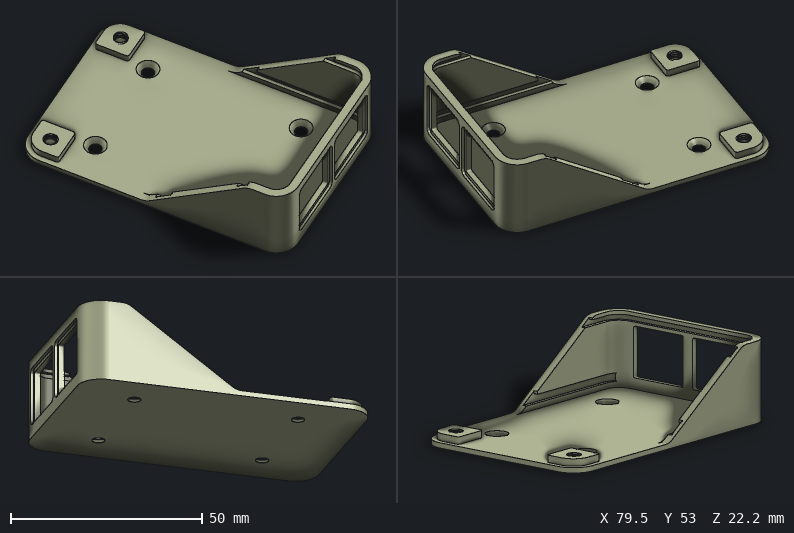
import cadquery as cq
import math

LENGTH = 79.5
WIDTH = 53.0
HEIGHT = 22.23
CORNER_RADIUS = 6.5
PLATE_THICKNESS = 1.5

WALL = 2.4
SLOPE_ANGLE = 34.6
SLOPE_BEND_RADIUS = 5.0
SLOPE_FOOT_X = -1.9

GROOVE_DEPTH = 1.1
LID_GROOVE_BOTTOM = 19.6
LID_GROOVE_TOP = 21.2
LID_GROOVE_MOUTH_X = 27.4
SIDE_GROOVE_BOTTOM = 3.1
SIDE_GROOVE_TOP = 5.4
SIDE_GROOVE_MOUTH_X = 4.9
SIDE_GROOVE_HALF_SPAN = 23.25

WINDOW_WIDTH = 16.8
WINDOW_HEIGHT = 13.9
WINDOW_BOTTOM = 4.6
WINDOW_SPACING = 20.1
WINDOW_CORNER_RADIUS = 0.5
WINDOW_RELIEF_DEPTH = 0.8
WINDOW_RELIEF_MARGIN = 1.0

MOUNT_SPACING_X = 45.0
MOUNT_SPACING_Y = 30.0
MOUNT_DIAMETER = 3.4
COUNTERSINK_DIAMETER = 6.2
COUNTERSINK_ANGLE = 90.0

PAD_SIZE = 9.9
PAD_MARGIN = 1.6
PAD_HEIGHT = 2.0
PAD_SMALL_RADIUS = 0.8
SCREW_DIAMETER = 3.5
SCREW_INSET = PAD_MARGIN + PAD_SIZE / 2
THREAD_MAJOR_DIAMETER = 4.2
THREAD_PITCH = 0.7
THREAD_GROOVE_WIDTH = 0.6
THREAD_START_ANGLE = 291.0
THREAD_ROOT_OVERLAP = 0.1

END_X = LENGTH / 2
SIDE_Y = WIDTH / 2


def rounded_block(inset, bottom, top):
    """Plate-shaped block, offset inward by inset, between two heights."""
    return (
        cq.Workplane("XY", origin=(0, 0, bottom))
        .rect(LENGTH - 2 * inset, WIDTH - 2 * inset)
        .extrude(top - bottom)
        .edges("|Z")
        .fillet(CORNER_RADIUS - inset)
    )


def box_between(x_range, y_range, z_range):
    """Axis-aligned box given by its limits along X, Y and Z."""
    size = [high - low for low, high in (x_range, y_range, z_range)]
    corner = (x_range[0], y_range[0], z_range[0])
    return cq.Workplane("XY").box(*size, centered=False).translate(corner)


def slope_envelope():
    """Side profile that trims the wall: plate level, slope, then full height."""
    slope_top_x = SLOPE_FOOT_X + (HEIGHT - PLATE_THICKNESS) / math.tan(math.radians(SLOPE_ANGLE))
    envelope = (
        cq.Workplane("XZ", origin=(0, SIDE_Y, 0))
        .moveTo(-END_X, 0)
        .lineTo(END_X, 0)
        .lineTo(END_X, HEIGHT)
        .lineTo(slope_top_x, HEIGHT)
        .lineTo(SLOPE_FOOT_X, PLATE_THICKNESS)
        .lineTo(-END_X, PLATE_THICKNESS)
        .close()
        .extrude(WIDTH)
    )
    for x, z in ((slope_top_x, HEIGHT), (SLOPE_FOOT_X, PLATE_THICKNESS)):
        bend_edge = cq.selectors.NearestToPointSelector((x, 0, z))
        envelope = envelope.edges("|Y").edges(bend_edge).fillet(SLOPE_BEND_RADIUS)
    return envelope


def shell():
    """Plate and wall, with the wall cut down to the slope."""
    cavity = rounded_block(WALL, PLATE_THICKNESS, HEIGHT)
    return rounded_block(0, 0, HEIGHT).cut(cavity).intersect(slope_envelope())


def lid_groove():
    """Groove around the top of the wall, opened upward ahead of its lip."""
    groove = rounded_block(WALL - GROOVE_DEPTH, LID_GROOVE_BOTTOM, HEIGHT)
    lip = rounded_block(0, LID_GROOVE_TOP, HEIGHT)
    lip = lip.intersect(
        box_between((LID_GROOVE_MOUTH_X, END_X), (-SIDE_Y, SIDE_Y), (LID_GROOVE_TOP, HEIGHT))
    )
    return groove.cut(lip)


def side_grooves():
    """Pair of low grooves along the side walls, opened upward at their mouths."""
    slot = rounded_block(WALL - GROOVE_DEPTH, SIDE_GROOVE_BOTTOM, SIDE_GROOVE_TOP)
    mouth = rounded_block(WALL - GROOVE_DEPTH, SIDE_GROOVE_BOTTOM, HEIGHT).intersect(
        box_between((-END_X, SIDE_GROOVE_MOUTH_X), (-SIDE_Y, SIDE_Y), (0, HEIGHT))
    )
    middle = box_between(
        (-END_X, END_X), (-SIDE_GROOVE_HALF_SPAN, SIDE_GROOVE_HALF_SPAN), (0, HEIGHT)
    )
    return slot.union(mouth).cut(middle)


def window_pair(start_x, margin):
    """Two rounded blocks from start_x out through the end face, oversized by margin."""
    return (
        cq.Workplane("YZ", origin=(start_x, 0, WINDOW_BOTTOM + WINDOW_HEIGHT / 2))
        .rarray(WINDOW_SPACING, 1, 2, 1)
        .rect(WINDOW_WIDTH + 2 * margin, WINDOW_HEIGHT + 2 * margin)
        .extrude(END_X - start_x)
        .edges("|X")
        .fillet(WINDOW_CORNER_RADIUS + margin)
    )


def windows():
    """Two openings through the end wall, each with a shallow relief in the outer face."""
    openings = window_pair(END_X - 2 * WALL, 0)
    reliefs = window_pair(END_X - WINDOW_RELIEF_DEPTH, WINDOW_RELIEF_MARGIN)
    return openings.union(reliefs)


def add_mounting_holes(body):
    """Four countersunk holes through the plate."""
    return (
        body.copyWorkplane(cq.Workplane("XY", origin=(0, 0, PLATE_THICKNESS)))
        .rarray(MOUNT_SPACING_X, MOUNT_SPACING_Y, 2, 2)
        .cskHole(MOUNT_DIAMETER, COUNTERSINK_DIAMETER, COUNTERSINK_ANGLE)
    )


def pad():
    """Pad in the -X, +Y corner of the plate."""
    far_x = PAD_MARGIN - END_X
    far_y = SIDE_Y - PAD_MARGIN
    block = box_between(
        (far_x, far_x + PAD_SIZE),
        (far_y - PAD_SIZE, far_y),
        (PLATE_THICKNESS, PLATE_THICKNESS + PAD_HEIGHT),
    )
    block = block.edges("|Z and <X and >Y").fillet(CORNER_RADIUS - PAD_MARGIN)
    near_corners = "(|Z and >X) or (|Z and <Y and <X)"
    return block.edges(near_corners).fillet(PAD_SMALL_RADIUS)


def thread_groove():
    """Helical V-groove, centred on the Z axis, running out of the pad top."""
    core_radius = SCREW_DIAMETER / 2 - THREAD_ROOT_OVERLAP
    half_width = THREAD_GROOVE_WIDTH / 2
    helix = cq.Wire.makeHelix(THREAD_PITCH, PAD_HEIGHT, core_radius)
    profile = (
        cq.Workplane("XZ")
        .moveTo(core_radius, -half_width)
        .lineTo(THREAD_MAJOR_DIAMETER / 2, 0)
        .lineTo(core_radius, half_width)
        .close()
    )
    groove = profile.sweep(cq.Workplane(obj=helix), isFrenet=True)
    return groove.rotate((0, 0, 0), (0, 0, 1), THREAD_START_ANGLE)


def threaded_pad():
    """Corner pad with its threaded hole, closed below by the plate."""
    hole = cq.Workplane("XY").circle(SCREW_DIAMETER / 2).extrude(PAD_HEIGHT)
    position = (SCREW_INSET - END_X, SIDE_Y - SCREW_INSET, PLATE_THICKNESS)
    thread_lift = (0, 0, THREAD_GROOVE_WIDTH / 2)
    groove = thread_groove().translate(thread_lift)
    return pad().cut(hole.translate(position)).cut(groove.translate(position))


def build():
    """Complete bracket."""
    body = shell().cut(lid_groove()).cut(side_grooves()).cut(windows())
    body = add_mounting_holes(body)
    corner_pad = threaded_pad()
    return body.union(corner_pad).union(corner_pad.mirror("XZ"))


result = build()